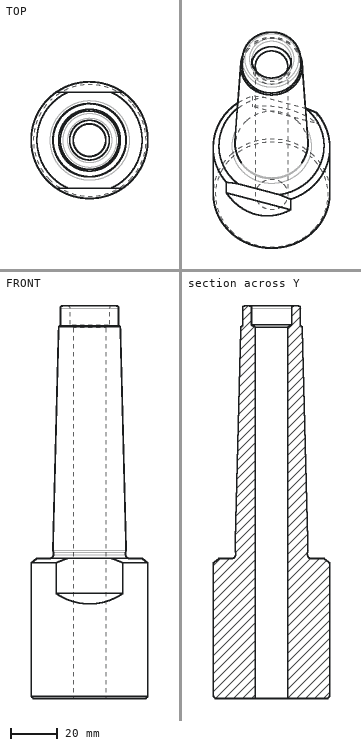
import cadquery as cq
import math

total_height = 168.0
body_height = 60.0

body_diameter = 50.0
body_bottom_chamfer = 1.0
body_chamfer_width = 2.5
body_chamfer_height = 2.0

flat_width = 41.0
flat_bottom_height = 45.0
flat_runout_angle = 45.0

neck_diameter = 31.0
neck_fillet_radius = 1.5
neck_length = 1.0
neck_chamfer_height = 1.0

taper_ratio = 1 / 19.254
gauge_diameter = 31.267
gauge_height = body_height + 6.5
taper_bottom_height = body_height + neck_fillet_radius + neck_length + neck_chamfer_height

end_diameter = 25.0
end_length = 8.5
end_fillet_radius = 1.0
taper_bevel_height = 0.5
end_bottom_height = total_height - end_length
taper_top_height = end_bottom_height - taper_bevel_height
taper_large_diameter = gauge_diameter + taper_ratio * (gauge_height - taper_bottom_height)
taper_small_diameter = gauge_diameter - taper_ratio * (taper_top_height - gauge_height)

bore_diameter = 13.84
counterbore_diameter = 17.0
counterbore_depth = 8.2
counterbore_cone_half_angle = 60.0
mouth_fillet_radius = 1.0


def make_turned_outside():
    """Revolve the outer profile of the body, neck and shank about Z."""
    body_radius = body_diameter / 2
    neck_radius = neck_diameter / 2
    end_radius = end_diameter / 2
    neck_bottom_height = body_height + neck_fillet_radius
    profile = (
        cq.Workplane("XZ")
        .moveTo(0, 0)
        .lineTo(body_radius - body_bottom_chamfer, 0)
        .lineTo(body_radius, body_bottom_chamfer)
        .lineTo(body_radius, body_height - body_chamfer_height)
        .lineTo(body_radius - body_chamfer_width, body_height)
        .lineTo(neck_radius + neck_fillet_radius, body_height)
        .radiusArc((neck_radius, neck_bottom_height), neck_fillet_radius)
        .lineTo(neck_radius, neck_bottom_height + neck_length)
        .lineTo(taper_large_diameter / 2, taper_bottom_height)
        .lineTo(taper_small_diameter / 2, taper_top_height)
        .lineTo(end_radius, end_bottom_height)
        .lineTo(end_radius, total_height - end_fillet_radius)
        .radiusArc((end_radius - end_fillet_radius, total_height), -end_fillet_radius)
        .lineTo(0, total_height)
        .close()
    )
    return profile.revolve(360, (0, 0, 0), (0, 1, 0))


def make_bore():
    """Through bore with a conical-bottomed counterbore and a rounded mouth at the top."""
    bore_radius = bore_diameter / 2
    counterbore_radius = counterbore_diameter / 2
    floor_height = total_height - counterbore_depth
    cone_height = (counterbore_radius - bore_radius) / math.tan(math.radians(counterbore_cone_half_angle))
    profile = (
        cq.Workplane("XZ")
        .moveTo(0, 0)
        .lineTo(bore_radius, 0)
        .lineTo(bore_radius, floor_height - cone_height)
        .lineTo(counterbore_radius, floor_height)
        .lineTo(counterbore_radius, total_height - mouth_fillet_radius)
        .radiusArc((counterbore_radius + mouth_fillet_radius, total_height), mouth_fillet_radius)
        .lineTo(0, total_height)
        .close()
    )
    return profile.revolve(360, (0, 0, 0), (0, 1, 0))


def make_flat_cutter(side):
    """Stock removed for one wrench flat; side is -1 for -Y or +1 for +Y."""
    inner = flat_width / 2
    outer = body_diameter / 2
    runout_drop = (outer - inner) * math.tan(math.radians(flat_runout_angle))
    return (
        cq.Workplane("YZ")
        .moveTo(side * inner, body_height)
        .lineTo(side * inner, flat_bottom_height)
        .lineTo(side * outer, flat_bottom_height - runout_drop)
        .lineTo(side * outer, body_height)
        .close()
        .extrude(outer, both=True)
    )


result = make_turned_outside()
for flat_side in (-1, 1):
    result = result.cut(make_flat_cutter(flat_side))
result = result.cut(make_bore())